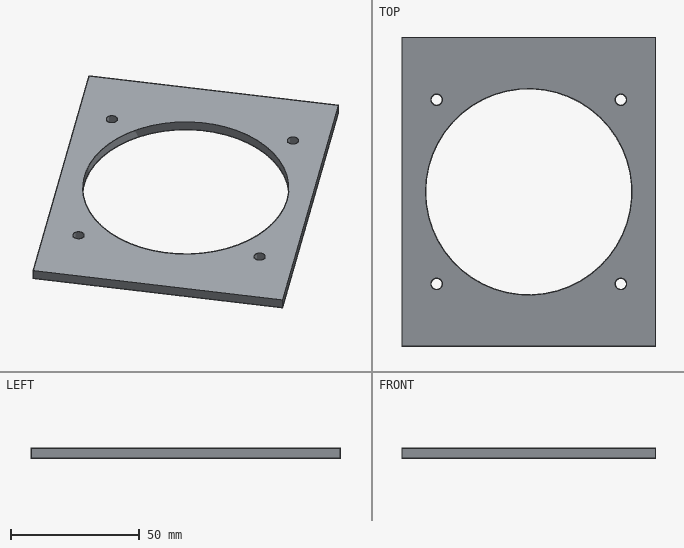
import cadquery as cq

plate_width = 98.5
plate_length = 120.0
plate_thickness = 4.0

opening_diameter = 80.0
mount_hole_diameter = 4.3
mount_hole_spacing = 71.5


def make_plate():
    """Flat rectangular plate, centred on the origin."""
    return cq.Workplane("XY").box(plate_width, plate_length, plate_thickness)


def cut_opening(plate):
    """Large round opening through the middle of the plate."""
    return plate.faces(">Z").workplane().hole(opening_diameter)


def cut_mount_holes(plate):
    """Four through holes at the corners of a square around the opening."""
    return (
        plate.faces(">Z")
        .workplane(origin=(0, 0, 0))
        .rect(mount_hole_spacing, mount_hole_spacing, forConstruction=True)
        .vertices()
        .hole(mount_hole_diameter)
    )


result = cut_mount_holes(cut_opening(make_plate()))